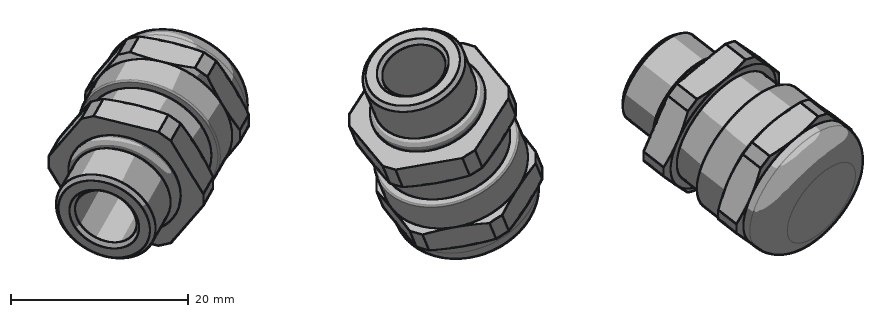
import cadquery as cq
import math


total_length = 26.0
thread_end = 5.33
body_hex_start = 7.02
body_hex_end = 10.5
nut_start = 14.5
nut_hex_start = 18.5
nut_hex_end = 22.0

across_flats = 17.0
across_cut_corners = 18.65
bevel_angle = 20.0

nut_radius = across_flats / 2
dome_radius = 3.0
nut_edge_fillet = 0.2
sleeve_radius = 15.0 / 2
thread_radius = 12.0 / 2
thread_chamfer = 0.5
neck_radius = thread_radius - thread_chamfer

ring_section_radius = 0.8
ring_centre_offset = 0.5
ring_outer_radius = 6.73

bore_radius = 7.4 / 2
bore_chamfer = 0.5
bore_depth = nut_start


def revolve_profile(profile):
    """Revolve a closed (radius, Y) profile around the Y axis."""
    return profile.close().revolve(360, (0, 0, 0), (0, 1, 0))


def hex_prism(width, start, end, turn):
    """Hexagonal prism along Y, 'width' across flats, turned about Y from corners on X."""
    corner_diameter = width / math.cos(math.radians(30))
    prism = cq.Workplane("XZ").polygon(6, corner_diameter).extrude(start - end)
    return prism.translate((0, start, 0)).rotate((0, 0, 0), (0, 1, 0), turn)


def bevel_envelope(start, end, bevel_start):
    """Solid of revolution that trims the hexagon rims to shallow cones."""
    rim_radius = across_flats / 2
    outer_radius = across_flats / math.sqrt(3)
    drop = (outer_radius - rim_radius) * math.tan(math.radians(bevel_angle))
    profile = cq.Workplane("XY").moveTo(0, start)
    if bevel_start:
        profile = profile.lineTo(rim_radius, start).lineTo(outer_radius, start + drop)
    else:
        profile = profile.lineTo(outer_radius, start)
    profile = profile.lineTo(outer_radius, end - drop).lineTo(rim_radius, end).lineTo(0, end)
    return revolve_profile(profile)


def hexagon(start, end, bevel_start):
    """Hexagon with cut corners, bevelled at its far rim and optionally at its near rim."""
    flats = hex_prism(across_flats, start, end, 0)
    corner_cuts = hex_prism(across_cut_corners, start, end, 30)
    return flats.intersect(corner_cuts).intersect(bevel_envelope(start, end, bevel_start))


def round_body():
    """Thread, neck, sleeve and domed nut as one turned profile."""
    profile = (
        cq.Workplane("XY")
        .lineTo(thread_radius - thread_chamfer, 0)
        .lineTo(thread_radius, thread_chamfer)
        .lineTo(thread_radius, thread_end)
        .lineTo(neck_radius, thread_end + thread_chamfer)
        .lineTo(neck_radius, body_hex_start)
        .lineTo(sleeve_radius, body_hex_start)
        .lineTo(sleeve_radius, nut_start)
        .lineTo(nut_radius - nut_edge_fillet, nut_start)
        .radiusArc((nut_radius, nut_start + nut_edge_fillet), -nut_edge_fillet)
        .lineTo(nut_radius, total_length - dome_radius)
        .radiusArc((nut_radius - dome_radius, total_length), -dome_radius)
        .lineTo(0, total_length)
    )
    return revolve_profile(profile)


def sealing_ring():
    """Round-section ring between the thread and the body hexagon."""
    centre_radius = ring_outer_radius - ring_section_radius
    centre_y = body_hex_start - ring_centre_offset
    section = cq.Workplane("XY").center(centre_radius, centre_y).circle(ring_section_radius)
    return section.revolve(360, (-centre_radius, 0, 0), (-centre_radius, 1, 0))


def bore():
    """Blind bore with a chamfered mouth."""
    profile = (
        cq.Workplane("XY")
        .lineTo(bore_radius + bore_chamfer, 0)
        .lineTo(bore_radius, bore_chamfer)
        .lineTo(bore_radius, bore_depth)
        .lineTo(0, bore_depth)
    )
    return revolve_profile(profile)


body_hexagon = hexagon(body_hex_start, body_hex_end, bevel_start=False)
nut_hexagon = hexagon(nut_hex_start, nut_hex_end, bevel_start=True)

result = round_body().union(body_hexagon).union(nut_hexagon).union(sealing_ring()).cut(bore())